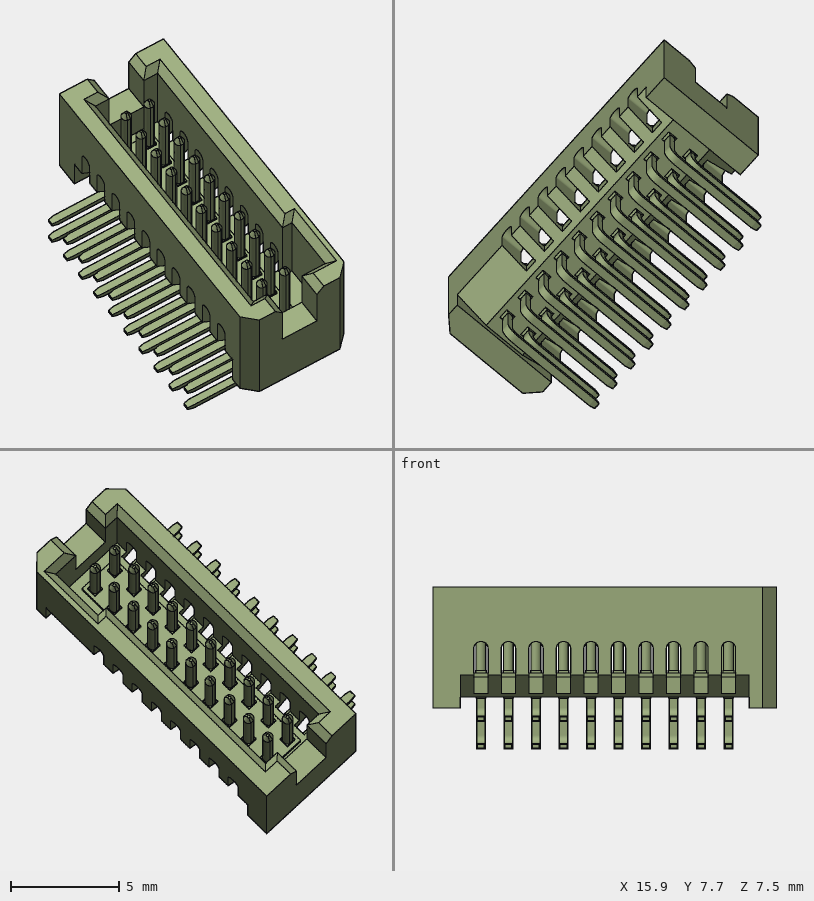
import cadquery as cq
import math


length = 15.88
depth = 5.75
height = 5.6
corner_chamfer = 0.65

cavity_length = 13.34
cavity_depth = 3.43
floor_z = 1.45
lip = 0.38
notch_width = 1.9
notch_drop = 2.45
key_start_x = 11.81
key_y = 2.24
platform_length = 12.32
platform_depth = 2.1
platform_z = 1.64

recess_roof_z = 0.51
recess_roof_half = 1.11
recess_edge_z = 1.54

window_width = 0.65
window_top_z = 3.08
window_inner_y = 1.4

pins_per_row = 10
pitch = 1.27
pin_diameter = 0.5
pin_across_flats = 0.46
pin_shoulder_z = 1.73
pin_tip_z = 5.02
pin_tip_length = 0.3
pin_tip_angle = 30.0
shank_end_z = 0.45
shank_taper = 0.06
leg_width = 0.4
leg_thickness = 0.25
leg_drop = 0.5
bend_radius = leg_drop
leg_overhang = 1.95
leg_tip_length = 0.3
leg_end_width = 0.3
leg_end_thickness = 0.16

mid_x = length / 2
half_depth = depth / 2
half_notch = notch_width / 2
cavity_left = mid_x - cavity_length / 2
cavity_right = mid_x + cavity_length / 2
row_y = pitch / 2
leg_end_y = -half_depth - leg_overhang
pin_xs = [mid_x + (i - (pins_per_row - 1) / 2) * pitch for i in range(pins_per_row)]


def box(x0, x1, y0, y1, z0, z1):
    return cq.Workplane("XY").box(x1 - x0, y1 - y0, z1 - z0, centered=False).translate((x0, y0, z0))


def flared_pocket(x0, x1, y0, y1, bottom_z):
    """Rectangular pocket open at the top, with a 45 degree lip on all four sides."""
    pocket = box(x0, x1, y0, y1, bottom_z, height)
    flare = (
        cq.Workplane("XY", origin=((x0 + x1) / 2, (y0 + y1) / 2, height))
        .rect(x1 - x0 + 2 * lip, y1 - y0 + 2 * lip)
        .extrude(-lip, taper=45)
    )
    return pocket.union(flare)


def cavity_opening():
    """Main cavity, key slot in the back wall and a notch through both ends."""
    half_cavity = cavity_depth / 2
    cavity = flared_pocket(cavity_left, cavity_right, -half_cavity, half_cavity, floor_z)
    key = flared_pocket(key_start_x, cavity_right, 0, key_y, floor_z)
    notches = flared_pocket(-lip, length + lip, -half_notch, half_notch, height - notch_drop)
    return cavity.union(key).union(notches)


def underside_recess():
    return (
        cq.Workplane("YZ", origin=(cavity_left, 0, 0))
        .polyline([
            (-half_depth, 0),
            (half_depth, 0),
            (half_depth, recess_edge_z),
            (recess_roof_half, recess_roof_z),
            (-recess_roof_half, recess_roof_z),
            (-half_depth, recess_edge_z),
        ])
        .close()
        .extrude(cavity_length)
    )


def window(x, outer_y):
    """Round-topped slot from the base block out through one long wall."""
    radius = window_width / 2
    spring_z = window_top_z - radius
    inner_y = math.copysign(window_inner_y, outer_y)
    return (
        cq.Workplane("XZ", origin=(x, inner_y, 0))
        .moveTo(-radius, 0)
        .lineTo(radius, 0)
        .lineTo(radius, spring_z)
        .threePointArc((0, window_top_z), (-radius, spring_z))
        .close()
        .extrude(inner_y - outer_y)
    )


def housing():
    body = box(0, length, -half_depth, half_depth, 0, height)
    body = body.edges("|Z and >X").chamfer(corner_chamfer)
    body = body.cut(cavity_opening()).cut(underside_recess())
    for x in pin_xs:
        body = body.cut(window(x, -half_depth))
        if x < key_start_x:
            body = body.cut(window(x, half_depth))
    platform = box(
        mid_x - platform_length / 2, mid_x + platform_length / 2,
        -platform_depth / 2, platform_depth / 2,
        recess_roof_z, platform_z,
    )
    return body.union(platform)


def contact_outline(z):
    """Pin section: a circle with one flat on each X side."""
    radius = pin_diameter / 2
    flat_x = pin_across_flats / 2
    flat_y = math.sqrt(radius**2 - flat_x**2)
    return (
        cq.Workplane("XY", origin=(0, 0, z))
        .moveTo(flat_x, -flat_y)
        .lineTo(flat_x, flat_y)
        .threePointArc((0, radius), (-flat_x, flat_y))
        .lineTo(-flat_x, -flat_y)
        .threePointArc((0, -radius), (flat_x, -flat_y))
        .close()
    )


def pin(y, leg_z):
    """Pin at X = 0: contact, square shank, then a flat leg bent toward -Y at leg_z."""
    tip_z = pin_tip_z - pin_tip_length
    contact = contact_outline(pin_shoulder_z).extrude(tip_z - pin_shoulder_z)
    tip = contact_outline(tip_z).extrude(pin_tip_length, taper=pin_tip_angle)

    taper_z = shank_end_z + shank_taper
    shank = (
        cq.Workplane("XY", origin=(0, 0, taper_z))
        .rect(pin_diameter, pin_diameter)
        .extrude(pin_shoulder_z - taper_z)
    )
    shank_end = (
        cq.Workplane("XY", origin=(0, 0, shank_end_z))
        .rect(leg_width, leg_thickness)
        .workplane(offset=shank_taper)
        .rect(pin_diameter, pin_diameter)
        .loft()
    )

    bend_start_z = leg_z + bend_radius
    bend_end_y = y - bend_radius
    diagonal = bend_radius * math.sqrt(0.5)
    path = (
        cq.Workplane("YZ")
        .moveTo(y, shank_end_z)
        .lineTo(y, bend_start_z)
        .threePointArc((bend_end_y + diagonal, bend_start_z - diagonal), (bend_end_y, leg_z))
        .lineTo(leg_end_y + leg_tip_length, leg_z)
    )
    leg = (
        cq.Workplane("XY", origin=(0, y, shank_end_z))
        .rect(leg_width, leg_thickness)
        .sweep(path)
    )
    leg_tip = (
        cq.Workplane("XZ", origin=(0, leg_end_y + leg_tip_length, leg_z))
        .rect(leg_width, leg_thickness)
        .workplane(offset=leg_tip_length)
        .rect(leg_end_width, leg_end_thickness)
        .loft()
    )
    upper = contact.union(tip).union(shank).union(shank_end)
    return upper.translate((0, y, 0)).union(leg).union(leg_tip)


result = housing()
front_pin = pin(-row_y, -leg_drop)
back_pin = pin(row_y, -leg_drop - pitch)
for x in pin_xs:
    result = result.union(front_pin.translate((x, 0, 0)))
    result = result.union(back_pin.translate((x, 0, 0)))